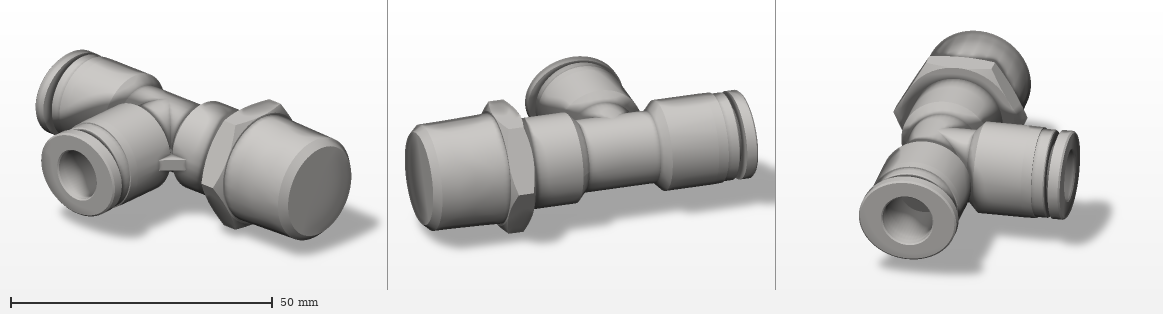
import cadquery as cq
import math

OVERALL_LENGTH = 65.1
PORT_REACH = 26.1
THREAD_END = OVERALL_LENGTH - PORT_REACH

BODY_DIAMETER = 17.6
WAIST_DIAMETER = 14.0
SHOULDER_LENGTH = (BODY_DIAMETER - WAIST_DIAMETER) / 2
PORT_SHOULDER_END = 9.1
RUN_SHOULDER_END = 8.8
TAPER_START = 18.4
TAPER_END = 20.4
TAPER_END_DIAMETER = 17.45
PORT_FACE = 22.8
PORT_FACE_CHAMFER = 0.2
LIP_DIAMETER = 16.9

GUSSET_THICKNESS = 2.2
GUSSET_REACH = 21.1

COLLAR_THICKNESS = 2.3
COLLAR_WIDTH = 19.1
COLLAR_HEIGHT = 16.6
COLLAR_CHAMFER = 0.3
NECK_DIAMETER = 11.9
TUBE_BORE = 9.75
TUBE_CHAMFER = 0.25
SLEEVE_DEPTH = 6.0
TUBE_DEPTH = 14.3

HEX_ACROSS_FLATS = 22.2
HEX_START = 19.1
HEX_END = 24.0
HEX_CHAMFER_ANGLE = 30.0
THREAD_START_DIAMETER = 21.35
THREAD_TIP_DIAMETER = 20.6
THREAD_CHAMFER_LENGTH = 1.4
THREAD_CHAMFER_WIDTH = 1.3

PORT_ANGLES = (0, 90)


def revolve_along_x(profile):
    """Revolve (x, radius) points about X, closed along the axis."""
    points = [(profile[0][0], 0), *profile, (profile[-1][0], 0)]
    return cq.Workplane("XY").polyline(points).close().revolve(360, (0, 0, 0), (1, 0, 0))


def cylinder_along_x(start, end, diameter):
    return revolve_along_x([(start, diameter / 2), (end, diameter / 2)])


def turn_about_z(shape, angle):
    return shape.rotate((0, 0, 0), (0, 0, 1), angle)


def make_port_barrel():
    """Outer form of a port from its face to the waist, pointing to -X."""
    return revolve_along_x([
        (-PORT_FACE, LIP_DIAMETER / 2 - PORT_FACE_CHAMFER),
        (PORT_FACE_CHAMFER - PORT_FACE, LIP_DIAMETER / 2),
        (-TAPER_END, LIP_DIAMETER / 2),
        (-TAPER_END, TAPER_END_DIAMETER / 2),
        (-TAPER_START, BODY_DIAMETER / 2),
        (-PORT_SHOULDER_END, BODY_DIAMETER / 2),
        (SHOULDER_LENGTH - PORT_SHOULDER_END, WAIST_DIAMETER / 2),
        (0, WAIST_DIAMETER / 2),
    ])


def make_run_barrel():
    """Outer form of the run from the axis crossing to the nut."""
    return revolve_along_x([
        (0, WAIST_DIAMETER / 2),
        (RUN_SHOULDER_END - SHOULDER_LENGTH, WAIST_DIAMETER / 2),
        (RUN_SHOULDER_END, BODY_DIAMETER / 2),
        (HEX_START, BODY_DIAMETER / 2),
    ])


def make_gusset():
    triangle = [(0, 0), (GUSSET_REACH, 0), (0, -GUSSET_REACH)]
    return cq.Workplane("XY").polyline(triangle).close().extrude(GUSSET_THICKNESS / 2, both=True)


def make_tee_body():
    body = make_run_barrel().union(make_gusset())
    body = body.intersect(cq.Workplane("XY").box(2 * HEX_START, 2 * PORT_REACH, 2 * BODY_DIAMETER))
    barrel = make_port_barrel()
    socket = cylinder_along_x(-PORT_REACH, SLEEVE_DEPTH - PORT_REACH, NECK_DIAMETER)
    tube_hole = cylinder_along_x(-PORT_REACH, TUBE_DEPTH - PORT_REACH, TUBE_BORE)
    port_hole = socket.union(tube_hole)
    for angle in PORT_ANGLES:
        body = body.union(turn_about_z(barrel, angle))
    for angle in PORT_ANGLES:
        body = body.cut(turn_about_z(port_hole, angle))
    return body


def make_collar():
    """Release collar of the -X port: an oval flange on a sleeve that fills the socket."""
    flange = (
        cq.Workplane("YZ", origin=(-PORT_REACH, 0, 0))
        .ellipse(COLLAR_WIDTH / 2, COLLAR_HEIGHT / 2)
        .extrude(COLLAR_THICKNESS)
        .faces("<X").edges().chamfer(COLLAR_CHAMFER)
    )
    sleeve_end = SLEEVE_DEPTH - PORT_REACH
    sleeve = cylinder_along_x(COLLAR_THICKNESS - PORT_REACH, sleeve_end, NECK_DIAMETER)
    bore = revolve_along_x([
        (-PORT_REACH, TUBE_BORE / 2 + TUBE_CHAMFER),
        (TUBE_CHAMFER - PORT_REACH, TUBE_BORE / 2),
        (sleeve_end, TUBE_BORE / 2),
    ])
    return flange.union(sleeve).cut(bore)


def make_hex():
    """Hexagon with flats facing +Z and -Z and both faces chamfered to the across-flats circle."""
    corner_radius = HEX_ACROSS_FLATS / math.sqrt(3)
    flat_radius = HEX_ACROSS_FLATS / 2
    chamfer_length = (corner_radius - flat_radius) * math.tan(math.radians(HEX_CHAMFER_ANGLE))
    prism = (
        cq.Workplane("YZ", origin=(HEX_START, 0, 0))
        .polygon(6, 2 * corner_radius)
        .extrude(HEX_END - HEX_START)
    )
    envelope = revolve_along_x([
        (HEX_START, flat_radius),
        (HEX_START + chamfer_length, corner_radius),
        (HEX_END - chamfer_length, corner_radius),
        (HEX_END, flat_radius),
    ])
    return prism.intersect(envelope)


def make_adapter():
    """Nut with its slightly tapered thread."""
    thread = revolve_along_x([
        (HEX_END, THREAD_START_DIAMETER / 2),
        (THREAD_END - THREAD_CHAMFER_LENGTH, THREAD_TIP_DIAMETER / 2),
        (THREAD_END, THREAD_TIP_DIAMETER / 2 - THREAD_CHAMFER_WIDTH),
    ])
    return make_hex().union(thread)


tee_body = make_tee_body()
adapter = make_adapter()
collars = [turn_about_z(make_collar(), angle) for angle in PORT_ANGLES]

result = cq.Compound.makeCompound([
    tee_body.val(),
    adapter.val(),
    *[collar.val() for collar in collars],
])